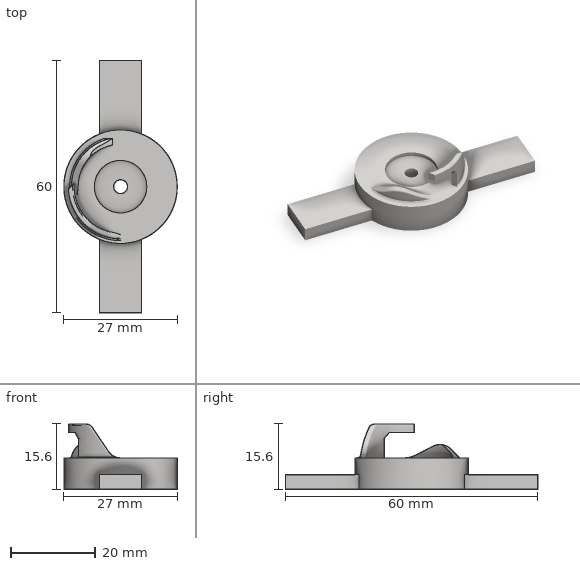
import cadquery as cq
import math

total_length = 60.0
total_height = 15.55
hub_radius = 13.5
hub_height = 7.5
bar_width = 10.0
bar_height = 3.5
recess_radius = 6.25
recess_depth = 1.0
bore_radius = 1.6

hook_inner_radius = 11.05
hook_outer_radius = 12.4
hook_height = total_height - hub_height
hook_crest_x = -8.2
hook_end_x = 0.0
hook_crest_radius = 1.8
hook_slope_angle = 56.0
arm_thickness = 2.05
post_angle = 216.0
gusset_size = 1.45
tip_outer_y = -0.5
tip_inner_y = 0.65
hook_margin = 1.8

fin_inner_radius = 10.1
fin_outer_radius = 11.7
fin_height = 3.2
fin_near_y = -1.8
fin_peak_y = 6.8
fin_peak_radius = 3.6
fin_near_angle = 27.0
fin_far_angle = 45.0
fin_end_x = -1.9
fin_runout_length = 5.4

foot_width = 0.4
foot_height = 0.2
rim_radius = 0.35

edge_tolerance = 0.005

wall_root_depth = 1.8
profile_bottom = hub_height - wall_root_depth


def is_rim(edge):
    """Curved edge along the top of a wall, as opposed to its floor or its straight ends."""
    box = edge.BoundingBox()
    above_floor = box.zmin > profile_bottom + edge_tolerance
    in_end_face = box.xlen < edge_tolerance
    return edge.geomType() != "LINE" and above_floor and not in_end_face


def curved_wall(inner_radius, outer_radius, profile):
    """Arc-shaped wall cut to a profile, with rounded top rims and a thin flared foot."""
    floor = cq.Workplane("XY").workplane(offset=profile_bottom)
    ring = floor.circle(outer_radius).circle(inner_radius).extrude(total_height)
    wall = ring.intersect(profile)
    rims = [edge for edge in wall.edges("not |Z").vals() if is_rim(edge)]
    wall = wall.newObject(rims).fillet(rim_radius)
    foot_section = [
        (outer_radius, profile_bottom),
        (outer_radius + foot_width, profile_bottom),
        (outer_radius + foot_width, hub_height),
        (outer_radius, hub_height + foot_height),
    ]
    foot = cq.Workplane("XZ").polyline(foot_section).close().revolve(360, (0, 0, 0), (0, 1, 0))
    return wall.union(foot.intersect(profile))


def make_hub():
    hub = cq.Workplane("XY").circle(hub_radius).extrude(hub_height)
    bar = cq.Workplane("XY").box(bar_width, total_length, bar_height, centered=(True, True, False))
    recess = cq.Workplane("XY").workplane(offset=hub_height - recess_depth).circle(recess_radius)
    bore = cq.Workplane("XY").circle(bore_radius).extrude(hub_height)
    return hub.union(bar).cut(recess.extrude(recess_depth)).cut(bore)


def add_falling_slope(outline, crest, toe, crest_radius, slope_angle):
    """Extend an outline from a flat crest to a flat toe: arc, straight slope, arc."""
    crest_along, crest_z = crest
    toe_along, toe_z = toe
    direction = math.copysign(1, toe_along - crest_along)
    span = abs(toe_along - crest_along)
    angle = math.radians(slope_angle)
    half_tangent = math.tan(angle / 2)
    toe_span = span - crest_radius * half_tangent - (crest_z - toe_z) / math.tan(angle)
    toe_radius = toe_span / half_tangent
    slope_start = (
        crest_along + direction * crest_radius * math.sin(angle),
        crest_z - crest_radius * (1 - math.cos(angle)),
    )
    slope_end = (
        toe_along - direction * toe_radius * math.sin(angle),
        toe_z + toe_radius * (1 - math.cos(angle)),
    )
    return (
        outline.tangentArcPoint(slope_start, relative=False)
        .lineTo(*slope_end)
        .tangentArcPoint(toe, relative=False)
    )


def hook_profile():
    """Flat crest that falls in an S-curve to the hub, seen along Y."""
    crest = (hook_crest_x, total_height)
    toe = (hook_end_x, hub_height)
    outline = (
        cq.Workplane("XZ", origin=(0, hook_margin, 0))
        .moveTo(-hub_radius, profile_bottom)
        .lineTo(-hub_radius, total_height)
        .lineTo(*crest)
    )
    outline = add_falling_slope(outline, crest, toe, hook_crest_radius, hook_slope_angle)
    return outline.lineTo(hook_end_x, profile_bottom).close().extrude(hub_radius + hook_margin)


def beyond_tip():
    """Everything on the +Y side of the slanted end of the arm."""
    outline = [
        (-hub_radius, tip_outer_y),
        (-hook_outer_radius, tip_outer_y),
        (-hook_inner_radius, tip_inner_y),
        (hub_radius, tip_inner_y),
        (hub_radius, hub_radius),
        (-hub_radius, hub_radius),
    ]
    return cq.Workplane("XY").workplane(offset=profile_bottom).polyline(outline).close().extrude(total_height)


def gap_under_arm():
    """Radial opening below the arm, with a gusset left in the corner by the post."""
    angle = math.radians(post_angle)
    plane = cq.Plane(
        origin=(0, 0, hub_height),
        xDir=(math.sin(angle), -math.cos(angle), 0),
        normal=(-math.cos(angle), -math.sin(angle), 0),
    )
    gap_height = hook_height - arm_thickness
    outline = [
        (0, 0),
        (0, gap_height - gusset_size),
        (gusset_size, gap_height),
        (hub_radius, gap_height),
        (hub_radius, 0),
    ]
    return cq.Workplane(plane).polyline(outline).close().extrude(-hub_radius)


def make_hook():
    hook = curved_wall(hook_inner_radius, hook_outer_radius, hook_profile())
    return hook.cut(beyond_tip()).cut(gap_under_arm())


def fin_profile():
    """Hump seen along X: a straight far slope, a round peak and a longer S-curve to the hub."""
    peak = (fin_peak_y, hub_height + fin_height)
    toe = (fin_near_y, hub_height)
    far_angle = math.radians(fin_far_angle)
    far_slope_top = (
        fin_peak_y + fin_peak_radius * math.sin(far_angle),
        hub_height + fin_height - fin_peak_radius * (1 - math.cos(far_angle)),
    )
    far_slope_bottom_y = far_slope_top[0] + (far_slope_top[1] - profile_bottom) / math.tan(far_angle)
    outline = (
        cq.Workplane("YZ", origin=(-hub_radius, 0, 0))
        .moveTo(far_slope_bottom_y, profile_bottom)
        .lineTo(*far_slope_top)
        .tangentArcPoint(peak, relative=False)
    )
    outline = add_falling_slope(outline, peak, toe, fin_peak_radius, fin_near_angle)
    return outline.lineTo(fin_near_y, profile_bottom).close().extrude(hub_radius + fin_end_x)


def fin_runout():
    """Wedge that brings the fin down to the hub at its far end."""
    slope_top_x = fin_end_x - fin_runout_length
    outline = [
        (fin_end_x, hub_height),
        (slope_top_x, hub_height + fin_height),
        (-hub_radius, hub_height + fin_height),
        (-hub_radius, profile_bottom),
        (fin_end_x, profile_bottom),
    ]
    return cq.Workplane("XZ").polyline(outline).close().extrude(hub_radius, both=True)


def make_fin():
    fin = curved_wall(fin_inner_radius, fin_outer_radius, fin_profile())
    return fin.intersect(fin_runout())


result = make_hub().union(make_hook()).union(make_fin())